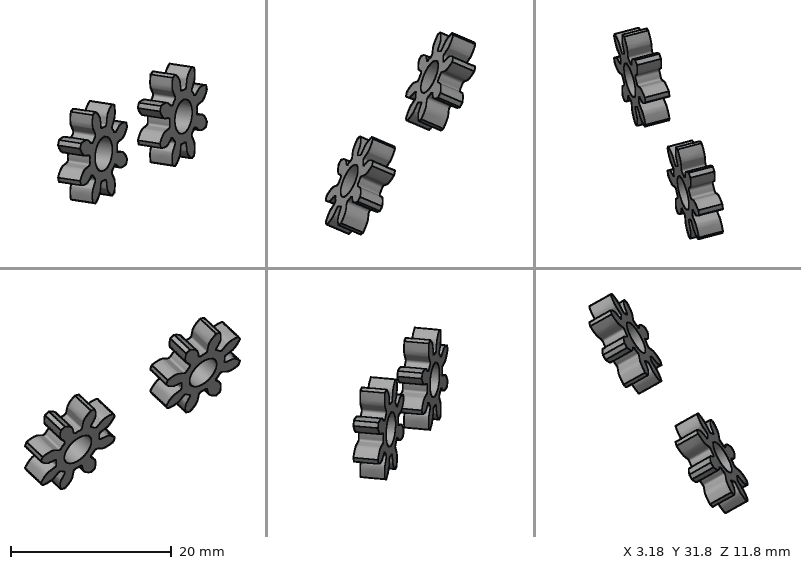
import cadquery as cq
import math

overall_length = 31.8
face_width = 3.18
bore_diameter = 4.32

tooth_count = 8
pitch_diameter = 10.02
pressure_angle = math.radians(20)
dedendum_factor = 1.25
root_fillet = 0.32
flank_points = 7

module = pitch_diameter / tooth_count
pitch_radius = pitch_diameter / 2
base_radius = pitch_radius * math.cos(pressure_angle)
tip_radius = pitch_radius + module
root_radius = pitch_radius - dedendum_factor * module
tooth_pitch = 2 * math.pi / tooth_count


def involute_angle(radius):
    """Angle swept by the involute between the base circle and the given radius."""
    roll = math.sqrt((radius / base_radius) ** 2 - 1)
    return roll - math.atan(roll)


base_half_angle = tooth_pitch / 4 + involute_angle(pitch_radius)
tip_half_angle = base_half_angle - involute_angle(tip_radius)

fillet_center_radius = root_radius + root_fillet
fillet_angle = math.asin(root_fillet / fillet_center_radius)
fillet_flank_radius = fillet_center_radius * math.cos(fillet_angle)
fillet_center_angle = base_half_angle + fillet_angle

gear_span = 2 * tip_radius * math.cos(tooth_pitch / 2 - tip_half_angle)
gear_spacing = overall_length - gear_span


def polar(radius, angle):
    return (radius * math.cos(angle), radius * math.sin(angle))


def fillet_midpoint(tooth_angle, side):
    """Middle of the root fillet on one side (-1 or +1) of a tooth."""
    center_angle = tooth_angle + side * fillet_center_angle
    center_y, center_z = polar(fillet_center_radius, center_angle)
    toward_tooth = math.pi + side * (math.pi / 2 - fillet_angle) / 2
    offset_y, offset_z = polar(root_fillet, center_angle + toward_tooth)
    return (center_y + offset_y, center_z + offset_z)


def involute_flank(tooth_angle, side):
    """Points from the base circle to the tip on one side (-1 or +1) of a tooth."""
    points = []
    for i in range(flank_points):
        radius = base_radius + (tip_radius - base_radius) * (i / (flank_points - 1)) ** 2
        half_angle = base_half_angle - involute_angle(radius)
        points.append(polar(radius, tooth_angle + side * half_angle))
    return points


def add_tooth(outline, tooth_angle):
    """Extend the outline over one tooth and along the root to the next tooth."""
    rising = involute_flank(tooth_angle, -1)
    falling = involute_flank(tooth_angle, 1)[::-1]
    root_end = polar(root_radius, tooth_angle + fillet_center_angle)
    root_middle = polar(root_radius, tooth_angle + tooth_pitch / 2)
    next_root_start = polar(root_radius, tooth_angle + tooth_pitch - fillet_center_angle)
    return (
        outline
        .threePointArc(
            fillet_midpoint(tooth_angle, -1),
            polar(fillet_flank_radius, tooth_angle - base_half_angle),
        )
        .lineTo(*rising[0])
        .spline(rising[1:], includeCurrent=True)
        .threePointArc(polar(tip_radius, tooth_angle), falling[0])
        .spline(falling[1:], includeCurrent=True)
        .lineTo(*polar(fillet_flank_radius, tooth_angle + base_half_angle))
        .threePointArc(fillet_midpoint(tooth_angle, 1), root_end)
        .threePointArc(root_middle, next_root_start)
    )


def make_gear(center_y):
    first_tooth_angle = tooth_pitch / 2
    start = polar(root_radius, first_tooth_angle - fillet_center_angle)
    outline = cq.Workplane("YZ").moveTo(*start)
    for i in range(tooth_count):
        outline = add_tooth(outline, first_tooth_angle + i * tooth_pitch)
    blank = outline.close().extrude(face_width)
    bore = cq.Workplane("YZ").circle(bore_diameter / 2).extrude(face_width)
    return blank.cut(bore).translate((-face_width / 2, center_y, 0))


gears = [make_gear(side * gear_spacing / 2) for side in (-1, 1)]

result = cq.Compound.makeCompound([gear.solids().val() for gear in gears])